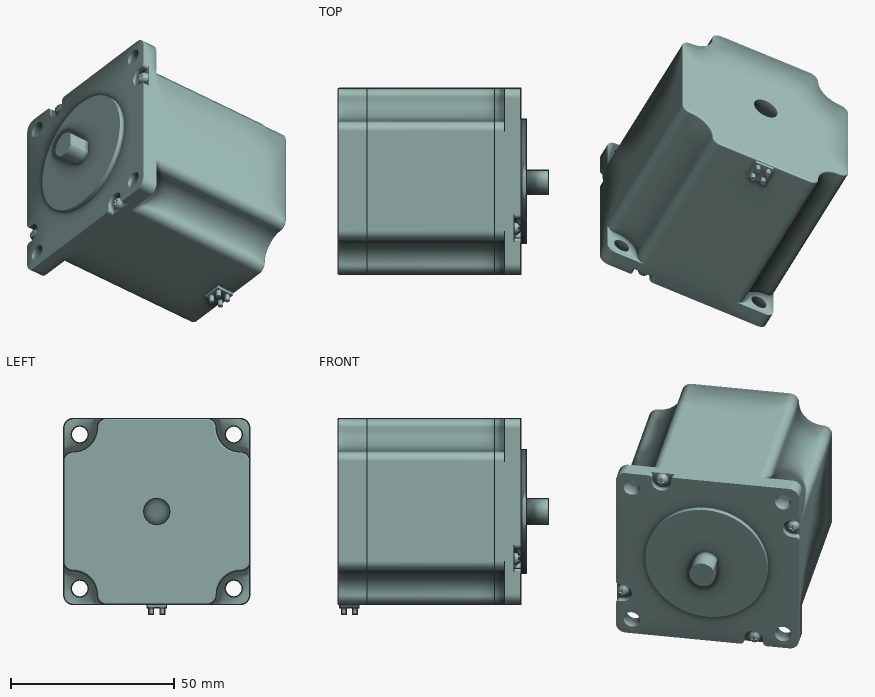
import cadquery as cq
import math

frame_side = 57.0
cap_length = 8.85
stack_end = 48.0
flange_rear = 50.95
flange_front = 56.05
pilot_front = 57.65
shaft_end = 64.5

corner_radius = 2.85
flange_radius = 3.0
relief_reach = 13.15
rear_fillet = 0.5

bore_depth = 5.0
shaft_diameter = 8.0
shaft_flat = 3.4
pilot_diameter = 38.1

mount_pitch = 47.15
mount_diameter = 5.1

screw_offset = 14.4
screw_inset = 2.0
pocket_width = 6.0
pocket_depth = 2.1
mouth_radius = 1.0
head_diameter = 3.75
head_rim = 0.5
head_height = 2.05
recess_width = 0.5
recess_length = 2.05
recess_depth = 0.65

base_start = 0.5
base_side = 6.0
base_height = 0.95
pin_pitch = 3.4
pin_diameter = 1.55
pin_length = 2.0

half_side = frame_side / 2
diagonal = math.sqrt(0.5)
overlap = 0.65


def square_to_axis(x):
    """Sketch plane at x whose local axes are Y and Z and whose normal is +X."""
    return cq.Workplane("YZ", origin=(x, 0, 0))


def body_section(x_start, x_end):
    """Length of the motor body: a square with an S-shaped relief at each corner."""
    inner = half_side - corner_radius
    edge = half_side - relief_reach
    step = corner_radius * diagonal
    bow = (relief_reach - 2 * corner_radius) * diagonal
    concave_end = edge + corner_radius

    relief = [
        (half_side, edge),
        (inner + step, edge + step),
        (inner, concave_end),
        (inner - bow, inner - bow),
        (concave_end, inner),
        (edge + step, inner + step),
        (edge, half_side),
    ]
    outline = square_to_axis(x_start).moveTo(*relief[0])
    for cos_turn, sin_turn in [(1, 0), (0, 1), (-1, 0), (0, -1)]:
        points = [(y * cos_turn - z * sin_turn, y * sin_turn + z * cos_turn) for y, z in relief]
        if points != relief:
            outline = outline.lineTo(*points[0])
        for middle, end in zip(points[1::2], points[2::2]):
            outline = outline.threePointArc(middle, end)
    return outline.close().extrude(x_end - x_start)


def make_rear_cap():
    """Rear cap with its blind bore and the connector on its -Z side."""
    cap = body_section(0, cap_length).faces("<X").edges().fillet(rear_fillet)
    bore = square_to_axis(0).circle(shaft_diameter / 2).extrude(bore_depth)

    below = cq.Workplane("XY", origin=(base_start + base_side / 2, 0, -half_side - base_height))
    base = below.rect(base_side, base_side).extrude(base_height + overlap)
    pins = (
        below.workplane(offset=-pin_length)
        .rect(pin_pitch, pin_pitch, forConstruction=True)
        .vertices()
        .circle(pin_diameter / 2)
        .extrude(pin_length + overlap)
    )
    return cap.cut(bore).union(base).union(pins)


def make_stack():
    """Lamination stack between the two caps."""
    return body_section(cap_length, stack_end)


def screw_pocket():
    """Open-ended slot for the screw on the +Z side, with a rounded mouth."""
    wall = pocket_width / 2
    mouth = wall + mouth_radius
    bend = mouth_radius * (1 - diagonal)
    inset_z = half_side - screw_inset
    return (
        square_to_axis(flange_front - pocket_depth)
        .center(-screw_offset, 0)
        .moveTo(-mouth, half_side)
        .threePointArc((-wall - bend, half_side - bend), (-wall, half_side - mouth_radius))
        .lineTo(-wall, inset_z)
        .threePointArc((0, inset_z - wall), (wall, inset_z))
        .lineTo(wall, half_side - mouth_radius)
        .threePointArc((wall + bend, half_side - bend), (mouth, half_side))
        .close()
        .extrude(pocket_depth)
    )


def screw_head():
    """Domed screw head with a cross recess, standing on the pocket floor."""
    radius = head_diameter / 2
    dome_height = head_height - head_rim
    dome_radius = (radius ** 2 + dome_height ** 2) / (2 * dome_height)
    half_angle = math.asin(radius / dome_radius) / 2
    dome_middle = (
        head_height - dome_radius * (1 - math.cos(half_angle)),
        dome_radius * math.sin(half_angle),
    )
    head = (
        cq.Workplane("XY")
        .moveTo(-overlap, 0)
        .lineTo(-overlap, radius)
        .lineTo(head_rim, radius)
        .threePointArc(dome_middle, (head_height, 0))
        .close()
        .revolve(360, (0, 0, 0), (1, 0, 0))
    )
    arms = cq.Workplane("YZ", origin=(head_height - recess_depth, 0, 0))
    for size in [(recess_length, recess_width), (recess_width, recess_length)]:
        head = head.cut(arms.rect(*size).extrude(recess_depth))
    return head.translate((flange_front - pocket_depth, -screw_offset, half_side - screw_inset))


def make_front_cap():
    """Front cap: body end, square flange, pilot, shaft and the case screws."""
    cap = body_section(stack_end, flange_rear)
    flange = (
        square_to_axis(flange_rear)
        .rect(frame_side, frame_side)
        .extrude(flange_front - flange_rear)
        .edges("|X")
        .fillet(flange_radius)
    )
    mount_holes = (
        square_to_axis(flange_rear)
        .rect(mount_pitch, mount_pitch, forConstruction=True)
        .vertices()
        .circle(mount_diameter / 2)
        .extrude(flange_front - flange_rear)
    )
    cap = cap.union(flange).cut(mount_holes)

    pocket = screw_pocket()
    head = screw_head()
    for quarter in range(4):
        turn = ((0, 0, 0), (1, 0, 0), 90 * quarter)
        cap = cap.cut(pocket.rotate(*turn)).union(head.rotate(*turn))

    pilot = square_to_axis(flange_front).circle(pilot_diameter / 2).extrude(pilot_front - flange_front)
    shaft = square_to_axis(pilot_front).circle(shaft_diameter / 2).extrude(shaft_end - pilot_front)
    flat = (
        square_to_axis(pilot_front)
        .center(shaft_flat + shaft_diameter / 2, 0)
        .rect(shaft_diameter, shaft_diameter)
        .extrude(shaft_end - pilot_front)
    )
    return cap.union(pilot).union(shaft.cut(flat))


rear_cap = make_rear_cap()
stack = make_stack()
front_cap = make_front_cap()

result = cq.Compound.makeCompound([rear_cap.val(), stack.val(), front_cap.val()])